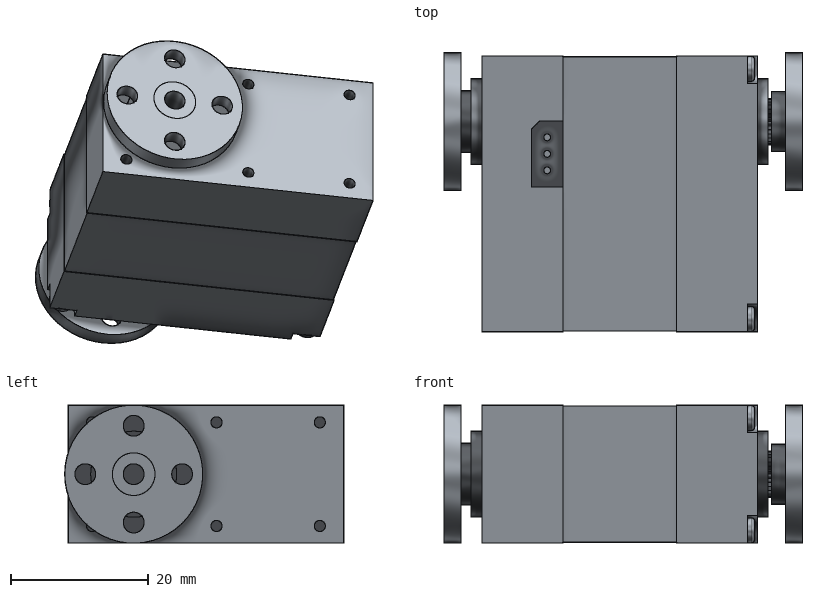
import cadquery as cq
import math


case_size = 40.0
case_height = 20.0
axis_to_rear = 9.5
end_cap_length = 11.75
middle_inset = 0.1
rear_y = axis_to_rear
front_y = rear_y - case_size
top_z = case_height / 2
middle_y = (front_y + rear_y) / 2

boss_diameter = 12.5
idler_boss_length = 1.6
output_boss_length = 1.5
idler_shaft_diameter = 6.2
spline_tip_radius = 3.4
spline_root_radius = 2.75
spline_teeth = 28
shaft_screw_diameter = 3.0

horn_diameter = case_height
horn_thickness = 2.5
idler_hub_diameter = 9.0
idler_hub_length = 1.4
output_hub_diameter = 8.75
output_hub_length = 2.05
output_hub_gap = 0.45
horn_hole_diameter = 3.0
horn_hole_radius = 7.0
horn_hole_count = 4
output_horn_turn = -5.9

idler_shaft_length = idler_boss_length + idler_hub_length + horn_thickness
output_boss_end_x = case_size + output_boss_length
output_hub_start_x = output_boss_end_x + output_hub_gap
output_shaft_length = output_hub_gap + output_hub_length + horn_thickness

mount_hole_diameter = 1.6
mount_hole_depth = 5.0
mount_end_inset = 3.5
mount_pitch = 15.0
mount_z_inset = 2.5
mount_z = top_z - mount_z_inset

corner_pocket_radius = 4.0
corner_pocket_depth = 1.5
screw_head_diameter = 3.65
screw_head_height = 1.05
screw_head_round = 0.45
screw_inset = 1.85

connector_width = 4.6
connector_length = 9.55
connector_depth = 5.0
connector_chamfer = 1.2
connector_rear_y = 0.1
pin_diameter = 1.0
pin_pitch = 2.4
pin_count = 3


def x_cylinder(start_x, diameter, length, y=0, z=0):
    """Cylinder along +X from start_x."""
    plane = cq.Workplane("YZ", origin=(start_x, y, z))
    return plane.circle(diameter / 2).extrude(length)


def make_case():
    """Two end caps with a slightly smaller middle third between them."""
    def slab(start_x, length, inset):
        plane = cq.Workplane("YZ", origin=(start_x, middle_y, 0))
        return plane.rect(case_size - 2 * inset, case_height - 2 * inset).extrude(length)

    middle_length = case_size - 2 * end_cap_length
    case = slab(0, end_cap_length, 0)
    case = case.union(slab(end_cap_length, middle_length, middle_inset))
    return case.union(slab(case_size - end_cap_length, end_cap_length, 0))


def cut_mounting_holes(case):
    """Three columns of two blind holes in the -X face."""
    columns = [
        front_y + mount_end_inset,
        front_y + mount_end_inset + mount_pitch,
        rear_y - mount_end_inset,
    ]
    for y in columns:
        for z in (-mount_z, mount_z):
            case = case.cut(x_cylinder(0, mount_hole_diameter, mount_hole_depth, y, z))
    return case


def add_case_screws(case):
    """A quarter-round pocket with a rounded screw head at each corner of the +X face."""
    pocket_floor_x = case_size - corner_pocket_depth
    for y_side in (-1, 1):
        for z_side in (-1, 1):
            corner_y = middle_y + y_side * case_size / 2
            corner_z = z_side * top_z
            pocket = x_cylinder(
                pocket_floor_x, 2 * corner_pocket_radius, corner_pocket_depth, corner_y, corner_z
            )
            head = x_cylinder(
                pocket_floor_x, screw_head_diameter, screw_head_height,
                corner_y - y_side * screw_inset, corner_z - z_side * screw_inset,
            ).faces(">X").edges().fillet(screw_head_round)
            case = case.cut(pocket).union(head)
    return case


def add_connector(case):
    """A pocket in the top with one chamfered corner, and a row of pins level with the top."""
    floor_z = top_z - connector_depth
    centre_x = end_cap_length - connector_width / 2
    centre_y = connector_rear_y - connector_length / 2
    pocket = (
        cq.Workplane("XY", origin=(centre_x, centre_y, floor_z))
        .rect(connector_width, connector_length)
        .extrude(connector_depth)
        .edges("|Z and <X and >Y")
        .chamfer(connector_chamfer)
    )
    pins = (
        cq.Workplane("XY", origin=(centre_x, centre_y, floor_z))
        .rarray(0.5, pin_pitch, 1, pin_count)
        .circle(pin_diameter / 2)
        .extrude(connector_depth)
    )
    return case.cut(pocket.cut(pins))


def make_idler_shaft():
    """Plain shaft on -X, flush with the outer face of the idler horn."""
    shaft = x_cylinder(-idler_shaft_length, idler_shaft_diameter, idler_shaft_length)
    screw_hole = x_cylinder(-idler_shaft_length, shaft_screw_diameter, idler_shaft_length)
    boss = x_cylinder(-idler_boss_length, boss_diameter, idler_boss_length)
    return boss.union(shaft).cut(screw_hole)


def make_spline():
    """Toothed output shaft on +X, flush with the outer face of the output horn."""
    points = []
    for i in range(2 * spline_teeth):
        radius = spline_root_radius if i % 2 == 0 else spline_tip_radius
        angle = math.pi * i / spline_teeth
        points.append((radius * math.cos(angle), radius * math.sin(angle)))
    plane = cq.Workplane("YZ", origin=(output_boss_end_x, 0, 0))
    return plane.polyline(points).close().extrude(output_shaft_length)


def make_housing():
    housing = add_connector(add_case_screws(cut_mounting_holes(make_case())))
    housing = housing.union(make_idler_shaft())
    housing = housing.union(x_cylinder(case_size, boss_diameter, output_boss_length))
    screw_hole = x_cylinder(output_boss_end_x, shaft_screw_diameter, output_shaft_length)
    return housing.union(make_spline().cut(screw_hole))


def make_horn_disc(start_x):
    """Disc with a ring of through holes."""
    disc = x_cylinder(start_x, horn_diameter, horn_thickness)
    holes = (
        cq.Workplane("YZ", origin=(start_x, 0, 0))
        .polarArray(horn_hole_radius, 0, 360, horn_hole_count)
        .circle(horn_hole_diameter / 2)
        .extrude(horn_thickness)
    )
    return disc.cut(holes)


def make_idler_horn():
    disc = make_horn_disc(-idler_shaft_length)
    hub = x_cylinder(-idler_boss_length - idler_hub_length, idler_hub_diameter, idler_hub_length)
    bore = x_cylinder(-idler_shaft_length, idler_shaft_diameter, idler_shaft_length)
    return disc.union(hub).cut(bore)


def make_output_horn():
    disc = make_horn_disc(output_hub_start_x + output_hub_length)
    hub = x_cylinder(output_hub_start_x, output_hub_diameter, output_hub_length)
    horn = hub.union(disc).rotate((0, 0, 0), (1, 0, 0), output_horn_turn)
    return horn.cut(make_spline())


housing = make_housing()
idler_horn = make_idler_horn()
output_horn = make_output_horn()

result = cq.Compound.makeCompound([housing.val(), idler_horn.val(), output_horn.val()])